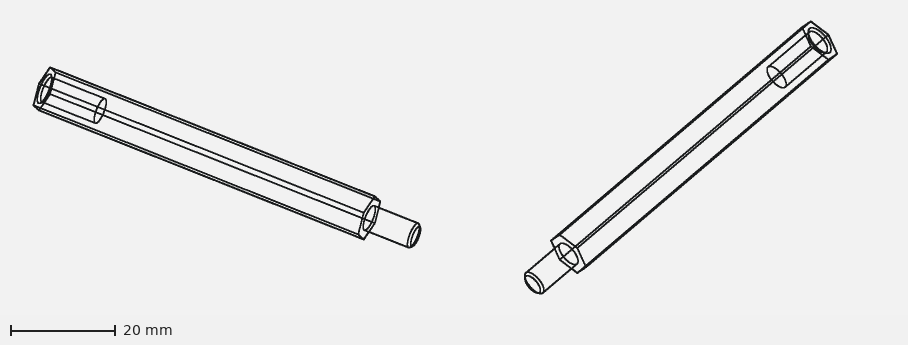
import cadquery as cq
import math

HEX_SIDES = 6
overall_length = 80.0
stud_length = 10.0
body_length = overall_length - stud_length
across_flats = 8.0
across_corners = across_flats / math.cos(math.pi / HEX_SIDES)

stud_diameter = 5.0
stud_chamfer = 0.5

bore_diameter = stud_diameter
bore_depth = 12.0
mouth_diameter = 6.0
mouth_chamfer = (mouth_diameter - bore_diameter) / 2


def hex_body():
    """Hexagonal bar with flats facing up and down (+Z and -Z)."""
    return cq.Workplane("YZ").polygon(HEX_SIDES, across_corners).extrude(body_length)


def stud():
    """Round stud with a chamfered tip."""
    return (
        cq.Workplane("YZ", origin=(body_length, 0, 0))
        .circle(stud_diameter / 2)
        .extrude(stud_length)
        .faces(">X")
        .chamfer(stud_chamfer)
    )


def bore():
    """Blind hole with a 45 degree countersunk mouth, opening at the -X end."""
    return (
        cq.Workplane("XY")
        .lineTo(0, mouth_diameter / 2)
        .lineTo(mouth_chamfer, bore_diameter / 2)
        .lineTo(bore_depth, bore_diameter / 2)
        .lineTo(bore_depth, 0)
        .close()
        .revolve(360, (0, 0, 0), (1, 0, 0))
    )


result = hex_body().union(stud()).cut(bore())